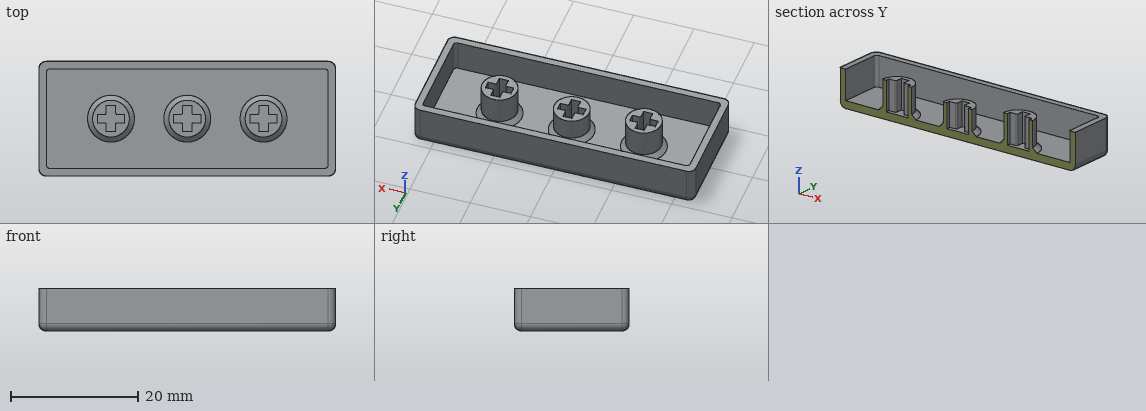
import cadquery as cq

length = 46.6
width = 18.05
height = 6.7
outer_radius = 1.15

end_wall = 1.15
side_wall = 1.2
floor_thickness = 1.4
cavity_corner_radius = 0.55

post_pitch = 12.0
post_diameter = 5.8
middle_post_drop = 1.0
foot_chamfer = 0.8
post_root = floor_thickness / 2

socket_length_x = 4.25
socket_length_y = 4.1
socket_arm_x_thickness = 1.3
socket_arm_y_thickness = 1.5
socket_corner_radius = 0.25
socket_bottom = floor_thickness


def make_tray():
    """Rounded box with filleted bottom edges, hollowed from the top."""
    body = cq.Workplane("XY").box(length, width, height, centered=(True, True, False))
    body = body.edges("|Z or <Z").fillet(outer_radius)
    cavity = (
        cq.Workplane("XY", origin=(0, 0, floor_thickness))
        .rect(length - 2 * end_wall, width - 2 * side_wall)
        .extrude(height - floor_thickness)
        .edges("|Z")
        .fillet(cavity_corner_radius)
    )
    return body.cut(cavity)


def make_post(post_top):
    """Post on the Z axis whose foot widens to the tray floor in a cone."""
    radius = post_diameter / 2
    foot_top = floor_thickness + foot_chamfer
    return (
        cq.Workplane("XZ")
        .moveTo(0, post_root)
        .lineTo(radius + foot_chamfer, post_root)
        .lineTo(radius + foot_chamfer, floor_thickness)
        .lineTo(radius, foot_top)
        .lineTo(radius, post_top)
        .lineTo(0, post_top)
        .close()
        .revolve(360, (0, 0, 0), (0, 1, 0))
    )


def make_socket(post_top):
    """Cross-shaped plug, open to the top of the post, with eased inner corners."""
    depth = post_top - socket_bottom
    base = cq.Workplane("XY", origin=(0, 0, socket_bottom))
    arm_x = base.rect(socket_length_x, socket_arm_x_thickness).extrude(depth)
    arm_y = base.rect(socket_arm_y_thickness, socket_length_y).extrude(depth)
    inner_corners = cq.selectors.BoxSelector(
        (-socket_arm_y_thickness, -socket_arm_x_thickness, socket_bottom),
        (socket_arm_y_thickness, socket_arm_x_thickness, post_top),
    )
    return arm_x.union(arm_y).edges("|Z").edges(inner_corners).fillet(socket_corner_radius)


post_places = [
    (-post_pitch, height),
    (0, height - middle_post_drop),
    (post_pitch, height),
]

result = make_tray()
for post_x, post_top in post_places:
    result = result.union(make_post(post_top).translate((post_x, 0, 0)))
    result = result.cut(make_socket(post_top).translate((post_x, 0, 0)))